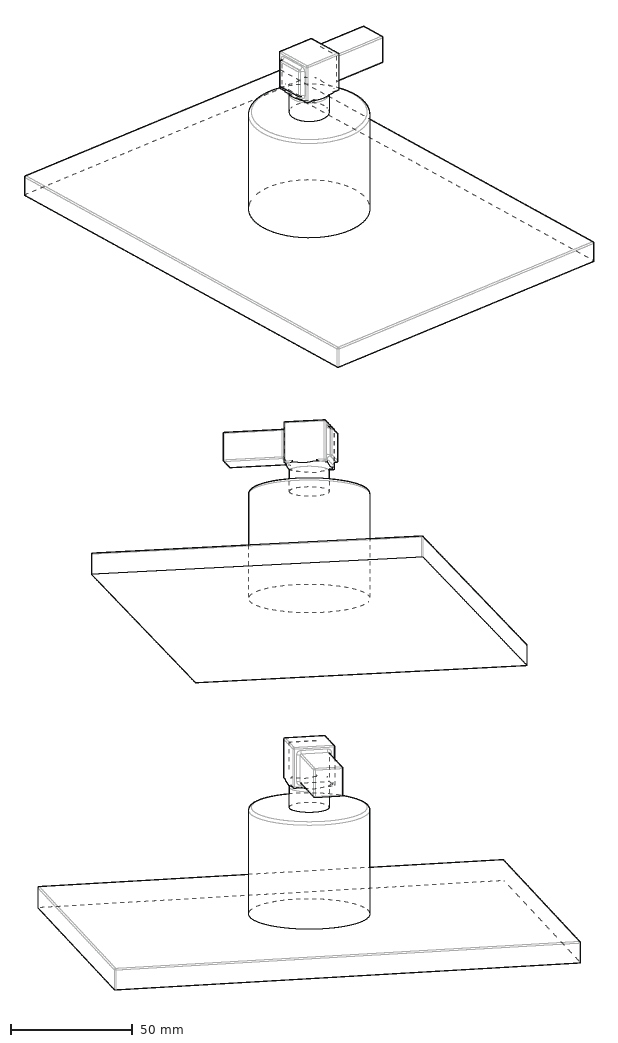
import cadquery as cq
import math

edge_radius = 0.5

plate_length = 196.8
plate_width = 139.8
plate_thickness = 9.0

body_radius = 25.0
body_top = 54.3
body_edge_radius = 1.2
neck_radius = 8.3

overall_height = 82.3
hub_width = 17.7
hub_height = 17.3
hub_bottom = overall_height - hub_height
hub_centre = overall_height - hub_height / 2

bar_size = 12.4
bar_back = 35.0
bar_front = -10.8

neck_flare_radius = 2.0
bar_flare_radius = 1.2


def make_plate():
    """Flat plate with its upright and top edges rounded; the bottom rim stays sharp."""
    plate = cq.Workplane("XY").box(
        plate_length, plate_width, plate_thickness, centered=(True, True, False)
    )
    return plate.edges("|Z or >Z").fillet(edge_radius)


def make_body():
    """Plain cylinder with a rounded top rim."""
    body = cq.Workplane("XY").circle(body_radius).extrude(body_top)
    return body.faces(">Z").edges().fillet(body_edge_radius)


def make_neck():
    """Round neck that flares out under the hub, trimmed flush with the hub sides."""
    flare_start = hub_bottom - neck_flare_radius
    arc_offset = neck_flare_radius * (1 - math.cos(math.pi / 4))
    neck = (
        cq.Workplane("XZ")
        .lineTo(neck_radius, 0)
        .lineTo(neck_radius, flare_start)
        .threePointArc(
            (neck_radius + arc_offset, hub_bottom - arc_offset),
            (neck_radius + neck_flare_radius, hub_bottom),
        )
        .lineTo(neck_radius + neck_flare_radius, hub_centre)
        .lineTo(0, hub_centre)
        .close()
        .revolve()
    )
    hub_column = cq.Workplane("XY").rect(hub_width, hub_width).extrude(overall_height)
    return neck.intersect(hub_column)


def make_handle():
    """Square hub with the lever bar through it, blended together on both sides."""
    hub = cq.Workplane("XY").box(hub_width, hub_width, hub_height)
    hub = hub.edges().fillet(edge_radius)
    bar_middle = (bar_back + bar_front) / 2
    bar = cq.Workplane("XY").box(bar_size, bar_back - bar_front, bar_size)
    bar = bar.edges().fillet(edge_radius)
    handle = hub.union(bar.translate((0, bar_middle, 0)))
    reach = bar_size / 2 + edge_radius / 2
    for side in (-1, 1):
        seam_y = side * hub_width / 2
        near_corner = (-reach, seam_y - edge_radius / 2, -reach)
        far_corner = (reach, seam_y + edge_radius / 2, reach)
        seam = cq.selectors.BoxSelector(near_corner, far_corner)
        handle = handle.edges(seam).edges("not |Y").fillet(bar_flare_radius)
    return handle.translate((0, 0, hub_centre))


result = make_plate().union(make_body()).union(make_neck()).union(make_handle())